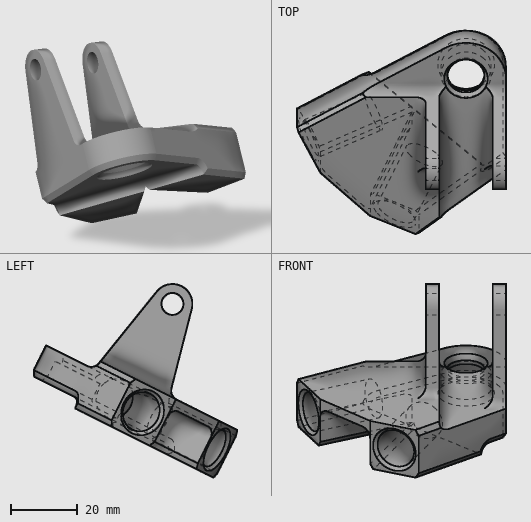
import cadquery as cq
import math

TILT = 26.6

FLOOR = 0.0
STEP_HEIGHT = 3.0
SOCKET_SIZE = 16.0
HALF_SOCKET = SOCKET_SIZE / 2
BOTTOM = STEP_HEIGHT - SOCKET_SIZE
WEB_THICKNESS = 3.0
EYE_THICKNESS = 10.0
EYE_BOTTOM = FLOOR - EYE_THICKNESS

EYE_RADIUS = 12.0
EYE_HOLE_RADIUS = 5.5
EYE_LIP = 3.0
BEARING_RADIUS = 7.5

LEFT_BEARING = 25.85
RIGHT_BEARING = 65.85
MIDDLE_BEARING = (LEFT_BEARING + RIGHT_BEARING) / 2
HALF_SPREAD = math.radians(RIGHT_BEARING - LEFT_BEARING) / 2
SOCKET_REACH = 52.33
BORE_RADIUS = 6.0
BORE_DEPTH = 21.6
BORE_CHAMFER = 1.0

RIGHT_EDGE_END = (EYE_RADIUS, -30.3)

RELIEF_LEFT = (-29.9, -3.5)
RELIEF_RIGHT = (5.4, -35.6)

CHAMFER_SLOPE = 60.0
CHAMFER_WIDTH = 1.0
CHAMFER_HEIGHT = CHAMFER_WIDTH * math.tan(math.radians(CHAMFER_SLOPE))

LUG_THICKNESS = 4.0
LUG_OUTER = EYE_RADIUS
LUG_INNER = LUG_OUTER - LUG_THICKNESS
LUG_PIN_V = -16.3
LUG_PIN_W = 28.03
LUG_TIP_RADIUS = 6.0
LUG_HOLE_RADIUS = 3.25
LUG_SLOPE = math.radians(77.75)

FILLET = 3.0

FAR = 100.0
OVERLAP = 1.0
TOLERANCE = 0.01


def along(bearing, distance, offset=0.0):
    """Point (u, v) at a distance out along a socket axis, offset square to the axis."""
    angle = math.radians(bearing)
    u = -distance * math.cos(angle) - offset * math.sin(angle)
    v = -distance * math.sin(angle) + offset * math.cos(angle)
    return (u, v)


def polar(radius, angle):
    return (radius * math.cos(angle), radius * math.sin(angle))


def slab(u_min, u_max, w_min, w_max):
    """Block between two u and two w limits, running past the part along v."""
    box = cq.Workplane("XY").box(u_max - u_min, 2 * FAR, w_max - w_min, centered=(False, True, False))
    return box.translate((u_min, 0, w_min))


def turned(points):
    """Solid of revolution about the w axis from (radius, level) points."""
    profile = [(0, points[0][1]), *points, (0, points[-1][1])]
    return cq.Workplane("XZ").polyline(profile).close().revolve(360, (0, 0), (0, 1))



LEFT_OUTER = along(LEFT_BEARING, SOCKET_REACH, HALF_SOCKET)
LEFT_INNER = along(LEFT_BEARING, SOCKET_REACH, -HALF_SOCKET)
RIGHT_INNER = along(RIGHT_BEARING, SOCKET_REACH, HALF_SOCKET)
RIGHT_OUTER = along(RIGHT_BEARING, SOCKET_REACH, -HALF_SOCKET)

WEB_REACH = SOCKET_REACH * math.cos(HALF_SPREAD) + HALF_SOCKET * math.sin(HALF_SPREAD)
FRONT_FACES = [
    (LEFT_BEARING, SOCKET_REACH),
    (MIDDLE_BEARING, WEB_REACH),
    (RIGHT_BEARING, SOCKET_REACH),
]


def outline(bottom, top):
    """Plate outline as a prism; the left side wall runs tangent into the eye."""
    corner_angle = math.atan2(LEFT_OUTER[1], LEFT_OUTER[0]) % (2 * math.pi)
    tangent_angle = corner_angle - math.acos(EYE_RADIUS / math.hypot(*LEFT_OUTER))
    return (
        cq.Workplane("XY", origin=(0, 0, bottom))
        .moveTo(*polar(EYE_RADIUS, tangent_angle))
        .threePointArc(polar(EYE_RADIUS, tangent_angle / 2), (EYE_RADIUS, 0))
        .lineTo(*RIGHT_EDGE_END)
        .lineTo(*RIGHT_OUTER)
        .lineTo(*RIGHT_INNER)
        .lineTo(*LEFT_INNER)
        .lineTo(*LEFT_OUTER)
        .close()
        .extrude(top - bottom)
    )


def relief():
    """Cutter that thins the plate under the eye, with a rounded wall towards the sockets."""
    start = cq.Vector(*RELIEF_LEFT, BOTTOM)
    run = (cq.Vector(*RELIEF_RIGHT, BOTTOM) - start).normalized()
    towards_eye = cq.Vector(0, 0, 1).cross(run)
    plane = cq.Plane(origin=start - run * FAR, xDir=towards_eye, normal=run)
    radius = EYE_BOTTOM - BOTTOM
    half_chord = radius * math.sqrt(0.5)
    return (
        cq.Workplane(plane)
        .threePointArc((radius - half_chord, half_chord), (radius, radius))
        .lineTo(FAR, radius)
        .lineTo(FAR, 0)
        .close()
        .extrude(2 * FAR)
    )


def on_front_face(point):
    """True for a point in the plane of a socket mouth or of the web's front face."""
    for bearing, reach in FRONT_FACES:
        axis_u, axis_v = along(bearing, 1)
        if abs(point.x * axis_u + point.y * axis_v - reach) < TOLERANCE:
            return True
    return False


def side_walls(solid):
    """Upright faces around the plate, except the front faces."""
    walls = []
    for face in solid.Faces():
        if abs(face.normalAt().z) < TOLERANCE and not on_front_face(face.Center()):
            walls.append(face)
    return walls


def walls_first(solid):
    """The same solid with its side walls listed first, so that chamfer heights lie on them."""
    walls = side_walls(solid)
    others = [face for face in solid.Faces() if not any(face.isSame(wall) for wall in walls)]
    return cq.Solid.makeSolid(cq.Shell.makeShell(walls + others))


def rim_edges(solid):
    """Upper and lower edges of the side walls."""
    edges = []
    for wall in side_walls(solid):
        for edge in wall.Edges():
            box = edge.BoundingBox()
            upright = box.xlen + box.ylen < TOLERANCE
            if not upright and not on_front_face(edge.positionAt(0.5)):
                edges.append(edge)
    return edges


def pocket_outline(half_width):
    """Wedge between the sockets, standing the given distance off both socket axes."""
    corner = along(MIDDLE_BEARING, half_width / math.sin(HALF_SPREAD))
    left_end = along(LEFT_BEARING, FAR, -half_width)
    right_end = along(RIGHT_BEARING, FAR, half_width)
    return cq.Workplane("XY", origin=(0, 0, BOTTOM)).polyline([corner, left_end, right_end]).close()


def socket_pocket():
    """Underside pocket between the sockets: filleted at its roof, chamfered at its mouth."""
    depth = SOCKET_SIZE - WEB_THICKNESS
    pocket = pocket_outline(HALF_SOCKET).extrude(depth).faces(">Z").edges().fillet(FILLET)
    flare = pocket_outline(HALF_SOCKET - CHAMFER_WIDTH).extrude(CHAMFER_HEIGHT, taper=90 - CHAMFER_SLOPE)
    return pocket.union(flare)


def full_plate():
    """Plate at its full height, before it is stepped down around the eye."""
    solid = walls_first(outline(BOTTOM, STEP_HEIGHT).cut(relief()).val())
    solid = solid.chamfer(CHAMFER_HEIGHT, CHAMFER_WIDTH, rim_edges(solid))
    return cq.Workplane(solid).cut(socket_pocket())




def lug_edge(side, level):
    """Position along v of the back (side 1) or front (side -1) lug edge at a level."""
    half_width = LUG_TIP_RADIUS / math.sin(LUG_SLOPE) + (LUG_PIN_W - level) / math.tan(LUG_SLOPE)
    return LUG_PIN_V + side * half_width


def lug_tip(side):
    """Point where a sloping lug edge meets the round tip."""
    v = LUG_PIN_V + side * LUG_TIP_RADIUS * math.sin(LUG_SLOPE)
    return (v, LUG_PIN_W + LUG_TIP_RADIUS * math.cos(LUG_SLOPE))


def foot_fillet(side, level):
    """Upper, middle and lower points of the fillet between a lug edge and a level."""
    foot = lug_edge(side, level)
    reach = FILLET * math.tan(LUG_SLOPE / 2)
    upper = (foot - side * reach * math.cos(LUG_SLOPE), level + reach * math.sin(LUG_SLOPE))
    middle = (
        foot + side * (reach - FILLET * math.sin(LUG_SLOPE / 2)),
        level + FILLET * (1 - math.cos(LUG_SLOPE / 2)),
    )
    lower = (foot + side * reach, level)
    return upper, middle, lower


def lug_profile(front_level):
    """Lug side shape, filleted to the floor behind and to the given level in front."""
    back_upper, back_middle, back_lower = foot_fillet(1, FLOOR)
    front_upper, front_middle, front_lower = foot_fillet(-1, front_level)
    return (
        cq.Workplane("YZ", origin=(-FAR, 0, 0))
        .moveTo(*back_lower)
        .threePointArc(back_middle, back_upper)
        .lineTo(*lug_tip(1))
        .threePointArc((LUG_PIN_V, LUG_PIN_W + LUG_TIP_RADIUS), lug_tip(-1))
        .lineTo(*front_upper)
        .threePointArc(front_middle, front_lower)
        .lineTo(front_lower[0], FLOOR - OVERLAP)
        .lineTo(back_lower[0], FLOOR - OVERLAP)
        .close()
        .extrude(2 * FAR)
    )


def step_profile():
    """Space in front of the step's back wall, which lies in line with the lugs' back edges."""
    upper, middle, lower = foot_fillet(1, FLOOR)
    return (
        cq.Workplane("YZ", origin=(-FAR, 0, 0))
        .moveTo(*lower)
        .threePointArc(middle, upper)
        .lineTo(lug_edge(1, FAR), FAR)
        .lineTo(-FAR, FAR)
        .lineTo(-FAR, FLOOR - OVERLAP)
        .lineTo(lower[0], FLOOR - OVERLAP)
        .close()
        .extrude(2 * FAR)
    )


def side_fillet(wall, direction, level):
    """Fillet bar along v at an upright wall, spreading in the given u direction on a level."""
    arc_inset = FILLET * (1 - math.sqrt(0.5))
    return (
        cq.Workplane("XZ", origin=(0, FAR, 0))
        .moveTo(wall, level - OVERLAP)
        .lineTo(wall + direction * FILLET, level - OVERLAP)
        .lineTo(wall + direction * FILLET, level)
        .threePointArc((wall + direction * arc_inset, level + arc_inset), (wall, level + FILLET))
        .close()
        .extrude(2 * FAR)
    )


def lug(u_min, level):
    """Lug with its left side at u_min, filleted to a level on its left and in front."""
    column = slab(u_min, u_min + LUG_THICKNESS, FLOOR - OVERLAP, FAR)
    column = column.union(side_fillet(u_min, -1, level))
    return column.intersect(lug_profile(level)).intersect(outline(FLOOR - OVERLAP, FAR))


def stepped_plate():
    """Plate lowered to the floor behind the step and to the right of it."""
    step = slab(-FAR, -LUG_INNER, FLOOR - OVERLAP, STEP_HEIGHT)
    step = step.union(side_fillet(-LUG_INNER, 1, FLOOR))
    step = step.intersect(step_profile())
    kept = step.union(slab(-FAR, FAR, BOTTOM, FLOOR))
    return full_plate().intersect(kept)




def eye_bore():
    """Chamfered eye hole and, below its lip, a wider bearing seat open to the underside."""
    mouth = EYE_HOLE_RADIUS + CHAMFER_WIDTH
    return turned(
        [
            (mouth, STEP_HEIGHT),
            (mouth, FLOOR),
            (EYE_HOLE_RADIUS, FLOOR - CHAMFER_HEIGHT),
            (EYE_HOLE_RADIUS, FLOOR - EYE_LIP),
            (BEARING_RADIUS, FLOOR - EYE_LIP),
            (BEARING_RADIUS, EYE_BOTTOM + CHAMFER_HEIGHT),
            (BEARING_RADIUS + CHAMFER_WIDTH, EYE_BOTTOM),
        ]
    )


def socket_bore(bearing):
    """Blind tube bore with a chamfered mouth."""
    bore = turned(
        [
            (BORE_RADIUS + BORE_CHAMFER, 0),
            (BORE_RADIUS, BORE_CHAMFER),
            (BORE_RADIUS, BORE_DEPTH),
        ]
    )
    bore = bore.rotate((0, 0, 0), (0, 1, 0), 90)
    bore = bore.rotate((0, 0, 0), (0, 0, 1), bearing)
    return bore.translate((*along(bearing, SOCKET_REACH), BOTTOM + HALF_SOCKET))


def pin_hole():
    """One straight hole through both lugs."""
    plane = cq.Workplane("YZ", origin=(-FAR, 0, 0))
    return plane.center(LUG_PIN_V, LUG_PIN_W).circle(LUG_HOLE_RADIUS).extrude(2 * FAR)



left_lug = lug(-LUG_OUTER, STEP_HEIGHT)
right_lug = lug(LUG_INNER, FLOOR)
level_part = stepped_plate().union(left_lug).union(right_lug)
level_part = level_part.cut(eye_bore()).cut(pin_hole())
for socket_bearing in (LEFT_BEARING, RIGHT_BEARING):
    level_part = level_part.cut(socket_bore(socket_bearing))

result = level_part.rotate((0, 0, 0), (1, 0, 0), TILT)